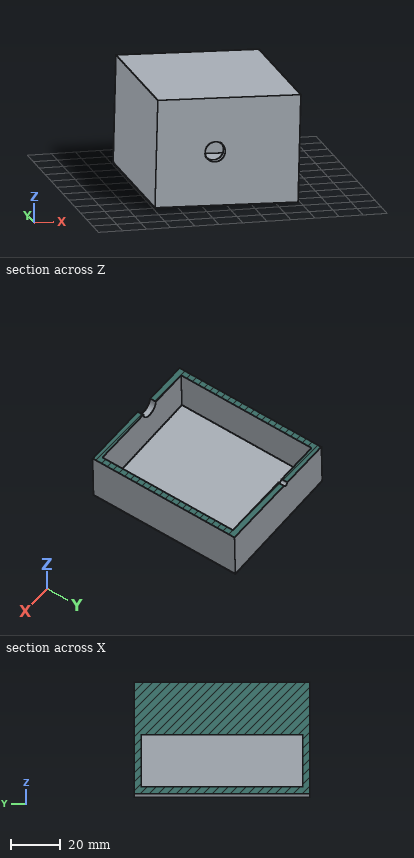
import cadquery as cq

box_width = 59.6
box_length = 71.0
box_height = 45.0
wall_thickness = 3.0
roll_angle = 1.5

opening_x = -5.3
opening_z = 0.15
front_opening_diameter = 8.4
back_opening_diameter = 2.1


def hollow_box():
    """Closed box with walls of equal thickness on all six sides."""
    outside = cq.Workplane("XY").box(box_width, box_length, box_height)
    cavity = cq.Workplane("XY").box(
        box_width - 2 * wall_thickness,
        box_length - 2 * wall_thickness,
        box_height - 2 * wall_thickness,
    )
    return outside.cut(cavity).rotate((0, 0, 0), (0, 1, 0), roll_angle)


def wall_opening(diameter, start_y):
    """Cylinder one wall thick, running along +Y from start_y."""
    return (
        cq.Workplane("XZ", origin=(opening_x, start_y, opening_z))
        .circle(diameter / 2)
        .extrude(-wall_thickness)
    )


front_opening = wall_opening(front_opening_diameter, -box_length / 2)
back_opening = wall_opening(back_opening_diameter, box_length / 2 - wall_thickness)

result = hollow_box().cut(front_opening).cut(back_opening)